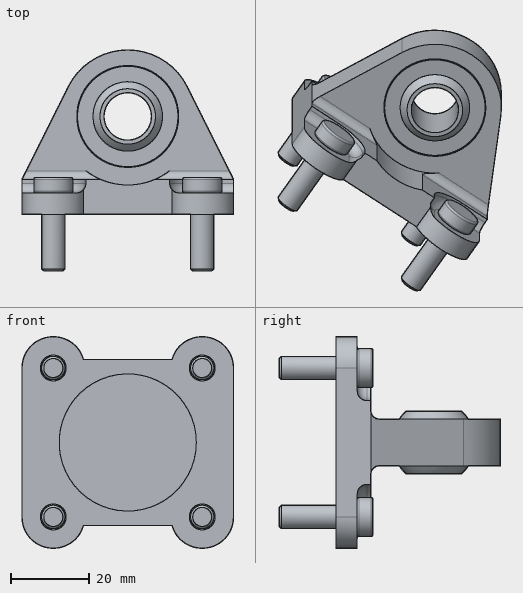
import cadquery as cq
import math

plate_width = 54.0
plate_thickness = 9.0
plate_waist = 42.45
lobe_radius = 8.0
recess_diameter = 35.0
recess_depth = 5.0

bore_to_front = 25.0
web_thickness = 11.95
web_end_radius = 17.0
web_fillet = 2.15
relief_radius = 17.5

ball_bore = 12.0
ball_diameter = 21.4
ball_width = 16.05
bearing_diameter = 26.0
ring_groove_width = 0.2
ring_groove_depth = 0.3

pocket_radius = 8.3
pocket_depth = 3.5
pocket_fillet = 2.5

hole_diameter = 6.6
shank_diameter = 6.0
shank_reach = 14.45
tip_chamfer = 0.55
head_diameter = 10.0
head_height = 4.0
head_rounding = 0.5

front_y = -bore_to_front
back_y = front_y + plate_thickness
pocket_floor_y = back_y - pocket_depth
screw_offset = plate_width / 2 - lobe_radius
screw_places = [(sx * screw_offset, sz * screw_offset) for sx in (-1, 1) for sz in (-1, 1)]


def prism(outline, y_start, length):
    """Extrude an outline, drawn in X and Z, from y_start toward +Y."""
    return outline.extrude(-length).translate((0, y_start, 0))


def rod(place, y_start, length, diameter):
    """Cylinder along +Y that starts at y_start, centred on an (x, z) place."""
    return prism(cq.Workplane("XZ").center(*place).circle(diameter / 2), y_start, length)


def disc(diameter, height):
    """Cylinder on the bore axis, centred on Z = 0."""
    return cq.Workplane("XY").circle(diameter / 2).extrude(height / 2, both=True)


def plate():
    """Plate with straight sides, a narrower waist and four round corner lobes."""
    lobe_span = 2 * screw_offset
    sides = prism(cq.Workplane("XZ").rect(plate_width, lobe_span), front_y, plate_thickness)
    waist = prism(cq.Workplane("XZ").rect(lobe_span, plate_waist), front_y, plate_thickness)
    body = sides.union(waist)
    for place in screw_places:
        body = body.union(rod(place, front_y, plate_thickness, 2 * lobe_radius))
    return body


def web_outline():
    """Round end around the bore, with tangent flanks down to the back edges of the plate."""
    foot_x = plate_width / 2
    foot_angle = math.atan2(back_y, foot_x)
    tangent_angle = foot_angle + math.acos(web_end_radius / math.hypot(foot_x, back_y))
    tangent_x = web_end_radius * math.cos(tangent_angle)
    tangent_y = web_end_radius * math.sin(tangent_angle)
    return (
        cq.Workplane("XY")
        .moveTo(-foot_x, back_y)
        .lineTo(-tangent_x, tangent_y)
        .threePointArc((0, web_end_radius), (tangent_x, tangent_y))
        .lineTo(foot_x, back_y)
        .close()
    )


def web_with_root_fillets():
    """Web whose two faces flare out to the plate, trimmed by the sloping flanks."""
    half = web_thickness / 2
    flare = half + web_fillet
    rounding_start = back_y + web_fillet
    mid_arc = web_fillet * (1 - math.sqrt(0.5))
    profile = (
        cq.Workplane("YZ")
        .moveTo(back_y, -flare)
        .threePointArc((back_y + mid_arc, -half - mid_arc), (rounding_start, -half))
        .lineTo(web_end_radius, -half)
        .lineTo(web_end_radius, half)
        .lineTo(rounding_start, half)
        .threePointArc((back_y + mid_arc, half + mid_arc), (back_y, flare))
        .close()
        .extrude(plate_width / 2, both=True)
    )
    return profile.intersect(web_outline().extrude(flare, both=True))


def side_relief():
    """Round cut above and below the web that clears the space around the bearing."""
    return disc(2 * relief_radius, plate_width).cut(disc(2 * relief_radius, web_thickness))


def ball():
    """Bearing ball with flat ends."""
    sphere = cq.Workplane("XY").sphere(ball_diameter / 2)
    return sphere.intersect(disc(ball_diameter, ball_width))


def ring_grooves():
    """Thin circular groove around the bearing on both faces of the web."""
    ring = disc(bearing_diameter, web_thickness)
    ring = ring.cut(disc(bearing_diameter - 2 * ring_groove_width, web_thickness))
    return ring.cut(disc(bearing_diameter, web_thickness - 2 * ring_groove_depth))


def head_pocket():
    """Corner pocket for the screw head at +X +Z, open to the outside of the plate."""
    inner = screw_offset - pocket_radius
    outer = plate_width
    block = cq.Workplane("XY").box(outer - inner, 2 * pocket_depth, outer - inner, centered=False)
    block = block.translate((inner, pocket_floor_y, inner))
    return block.edges("|Y and <X and <Z").fillet(pocket_radius).faces("<Y").edges().fillet(pocket_fillet)


def make_bracket():
    body = plate().union(web_with_root_fillets()).cut(side_relief())
    body = body.cut(rod((0, 0), front_y, recess_depth, recess_diameter))
    pocket = head_pocket()
    for quarter in range(4):
        body = body.cut(pocket.rotate((0, 0, 0), (0, 1, 0), 90 * quarter))
    for place in screw_places:
        body = body.cut(rod(place, front_y, plate_thickness, hole_diameter))
    body = body.union(ball()).cut(ring_grooves())
    return body.cut(disc(ball_bore, ball_width))


def make_screw(place):
    """Cap screw whose head sits on the pocket floor."""
    tip_y = front_y - shank_reach
    shank = rod(place, tip_y, pocket_floor_y - tip_y, shank_diameter).faces("<Y").chamfer(tip_chamfer)
    head = rod(place, pocket_floor_y, head_height, head_diameter).edges().fillet(head_rounding)
    return head.union(shank)


bracket = make_bracket()
screws = [make_screw(place) for place in screw_places]

result = cq.Compound.makeCompound([bracket.val()] + [screw.val() for screw in screws])